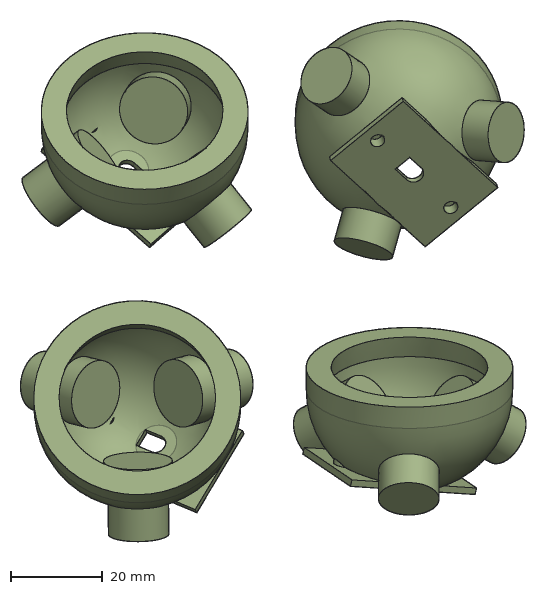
import cadquery as cq
import math

bowl_diameter = 45.0
bowl_radius = bowl_diameter / 2
cavity_radius = 18.9
mouth_radius = 17.0
rim_base_radius = 17.95
rim_height = 5.0

plate_tilt = 15
plate_length = 32.3
plate_width = 21.0
plate_thickness = 1.5
plate_outer_distance = 19.85

boss_diameter = 4.0
boss_height = 2.8
boss_spacing = 25.0
screw_hole_diameter = 3.1
screw_hole_depth = 3.0

slot_width = 4.15
slot_square_end = 4.0

plug_count = 3
plug_slope = 35
plug_axis_height = 0.65
shank_diameter = 13.2
head_diameter = 15.0
plug_outer_distance = 29.1
plug_length = 16.45
head_length = 6.0
shank_length = plug_length - head_length


def tilt(shape):
    """Turn a shape made square to Z into the frame of the tilted plate."""
    return shape.rotate((0, 0, 0), (0, 1, 0), plate_tilt)


def make_bowl():
    """Hollow hemisphere; the rim overhangs its cavity and narrows to the mouth."""
    diagonal = math.sqrt(0.5)
    return (
        cq.Workplane("XZ")
        .moveTo(0, -bowl_radius)
        .threePointArc((bowl_radius * diagonal, -bowl_radius * diagonal), (bowl_radius, 0))
        .lineTo(bowl_radius, rim_height)
        .lineTo(mouth_radius, rim_height)
        .lineTo(rim_base_radius, 0)
        .lineTo(cavity_radius, 0)
        .threePointArc((cavity_radius * diagonal, -cavity_radius * diagonal), (0, -cavity_radius))
        .close()
        .revolve(360, (0, 0, 0), (0, 1, 0))
    )


def outer_face():
    """Workplane on the plate's outer face, before tilting, facing into the bowl."""
    return cq.Workplane("XY").workplane(offset=-plate_outer_distance)


def below_plate():
    """Block covering everything beyond the outer face of the plate."""
    side = 3 * bowl_radius
    block = outer_face().rect(side, side).extrude(-bowl_radius)
    return tilt(block)


def screw_points(plane):
    return plane.pushPoints([(-boss_spacing / 2, 0), (boss_spacing / 2, 0)])


def make_plate():
    """Flat plate with its two screw bosses."""
    plate = outer_face().rect(plate_length, plate_width).extrude(plate_thickness)
    bosses = screw_points(outer_face()).circle(boss_diameter / 2).extrude(plate_thickness + boss_height)
    return tilt(plate.union(bosses))


def screw_holes():
    return tilt(screw_points(outer_face()).circle(screw_hole_diameter / 2).extrude(screw_hole_depth))


def plate_slot():
    half_width = slot_width / 2
    slot = (
        outer_face()
        .moveTo(0, half_width)
        .threePointArc((-half_width, 0), (0, -half_width))
        .lineTo(slot_square_end, -half_width)
        .lineTo(slot_square_end, half_width)
        .close()
        .extrude(plate_thickness)
    )
    return tilt(slot)


def make_plug(index):
    """Stepped round plug, sloping down and outward from a point on the Z axis."""
    slope = math.radians(plug_slope)
    turn = math.radians(index * 360 / plug_count)
    outward = cq.Vector(
        math.cos(slope) * math.cos(turn),
        math.cos(slope) * math.sin(turn),
        -math.sin(slope),
    )
    pivot = cq.Vector(0, 0, plug_axis_height)
    inner_end = pivot + outward * (plug_outer_distance - plug_length)
    return (
        cq.Workplane(cq.Plane(origin=inner_end, normal=outward))
        .circle(head_diameter / 2)
        .extrude(head_length)
        .faces(cq.selectors.DirectionMinMaxSelector(outward))
        .workplane()
        .circle(shank_diameter / 2)
        .extrude(shank_length)
    )


def make_housing(plugs):
    """Bowl and plate in one piece, with a matching stepped hole for each plug."""
    housing = make_bowl().cut(below_plate()).union(make_plate())
    housing = housing.cut(screw_holes()).cut(plate_slot())
    for plug in plugs:
        housing = housing.cut(plug)
    return housing


plugs = [make_plug(index) for index in range(plug_count)]
housing = make_housing(plugs)

result = cq.Compound.makeCompound([housing.val(), *[plug.val() for plug in plugs]])